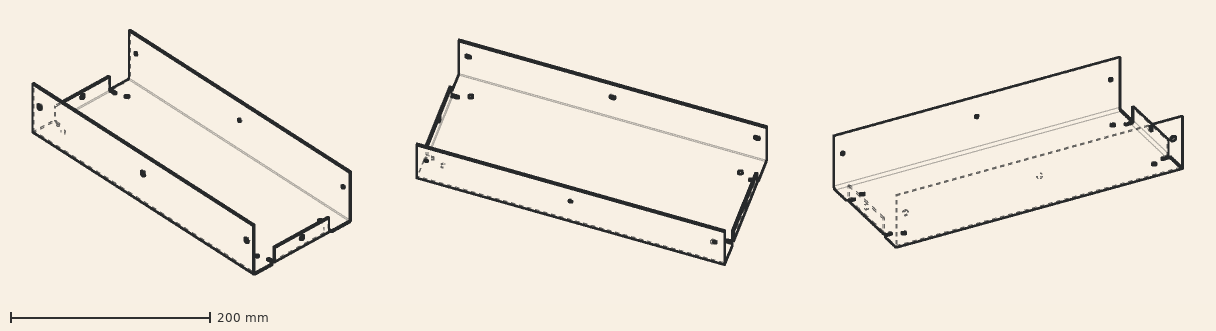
import cadquery as cq

length = 326.0
width = 134.0
height = 62.0

thickness = 2.0
inner_bend_radius = 1.0
outer_bend_radius = inner_bend_radius + thickness

flange_height = 19.5
flange_width = 74.0
relief_width = 3.0
relief_length = 9.0
floor_tab_width = 74.3
relief_center_y = (floor_tab_width + relief_width) / 2
floor_corner_radius = 1.3

wall_hole_spacing = 153.0
wall_hole_z = 38.5
front_wall_hole_diameter = 6.0
rear_wall_hole_diameter = 3.5
floor_hole_diameter = 4.5
floor_hole_x = length / 2 - 20.2
floor_hole_y = 43.7
flange_hole_diameter = 5.5
flange_hole_z = 13.5


def bent_channel(plane, span, channel_height, depth):
    """U-shaped sheet, span wide across its walls and extruded over depth."""
    outer = (
        cq.Workplane(plane)
        .rect(span, 2 * channel_height)
        .extrude(depth / 2, both=True)
        .translate((0, 0, channel_height))
    )
    inner = (
        cq.Workplane(plane)
        .rect(span - 2 * thickness, 2 * channel_height)
        .extrude(depth / 2, both=True)
        .translate((0, 0, channel_height + thickness))
    )
    lengthwise = "|X" if plane == "YZ" else "|Y"
    outer = outer.edges(lengthwise + " and <Z").fillet(outer_bend_radius)
    inner = inner.edges(lengthwise + " and <Z").fillet(inner_bend_radius)
    top_trim = cq.Workplane("XY").box(
        2 * length, 2 * length, channel_height, centered=(True, True, False)
    )
    return outer.cut(inner).intersect(top_trim)


def hole_cutter(plane, points, diameter, depth):
    return cq.Workplane(plane).pushPoints(points).circle(diameter / 2).extrude(depth)


tray = bent_channel("YZ", width, height, length)

for side in (-1, 1):
    floor_end = cq.Workplane("XY").box(
        2 * outer_bend_radius, floor_tab_width, 2 * thickness
    ).translate((side * length / 2, 0, thickness))
    tray = tray.cut(floor_end)
tray = tray.union(bent_channel("XZ", length, flange_height, flange_width))

for x_side in (-1, 1):
    for y_side in (-1, 1):
        relief = (
            cq.Workplane("XY")
            .center(x_side * length / 2, y_side * relief_center_y)
            .slot2D(2 * relief_length, relief_width)
            .extrude(flange_height)
        )
        tray = tray.cut(relief)

corner_y = relief_center_y + relief_width / 2
for x_side in (-1, 1):
    for y_side in (-1, 1):
        corner = cq.selectors.NearestToPointSelector(
            (x_side * length / 2, y_side * corner_y, thickness / 2)
        )
        tray = tray.edges("|Z").edges(corner).fillet(floor_corner_radius)

wall_points = [(x, wall_hole_z) for x in (-wall_hole_spacing, 0, wall_hole_spacing)]
tray = tray.cut(hole_cutter("XZ", wall_points, front_wall_hole_diameter, width))
tray = tray.cut(hole_cutter("XZ", wall_points, rear_wall_hole_diameter, -width))

floor_points = [(x, y) for x in (-floor_hole_x, floor_hole_x) for y in (-floor_hole_y, floor_hole_y)]
tray = tray.cut(hole_cutter("XY", floor_points, floor_hole_diameter, outer_bend_radius))

flange_holes = hole_cutter("YZ", [(0, flange_hole_z)], flange_hole_diameter, length)
result = tray.cut(flange_holes.translate((-length / 2, 0, 0)))